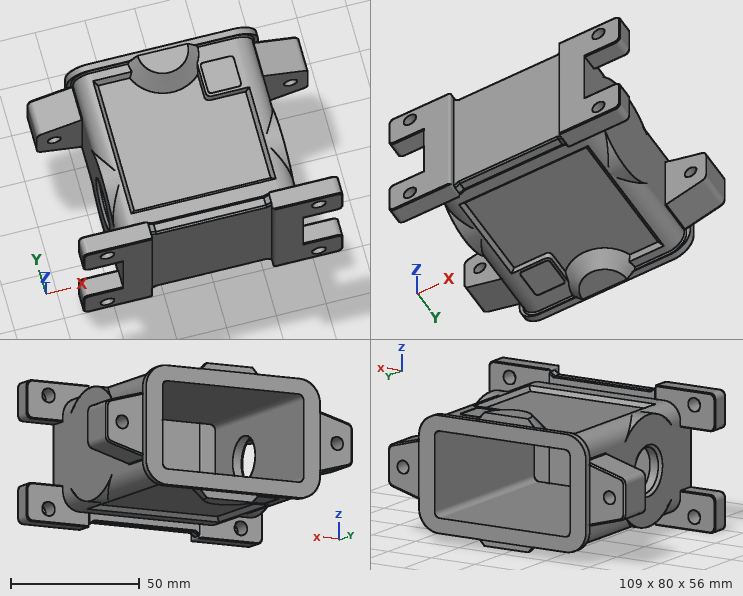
import cadquery as cq
import math


total_width = 109.0
total_depth = 80.0
total_height = 56.0

body_width = 72.4
body_height = 44.9
body_corner = 7.4
foot_depth = 7.8
flange_thickness = 2.8
flange_width = 77.0
flange_height = 47.2
flange_corner = 9.2
flange_y = total_depth - flange_thickness
flare = 0.7

feet_width = 104.2
feet_inner_x = 24.3
foot_corner = 2.4
foot_bevel = 0.4
foot_inner_round = 1.1
foot_end_round = 0.7
notch_x = body_width / 2
notch_height = 25.3
foot_hole_x = 42.5
foot_hole_z = 22.5
foot_hole_diameter = 5.6
slab_face_y = 2.8
slab_height = 51.0
slab_ramp = 2.2
slab_ramp_rise = 1.4
slab_bevel_depth = 0.9
slab_bevel_rise = 0.4

lug_depth = 15.0
lug_root_height = 26.2
lug_flare = 0.3
lug_tip_height = 16.0
lug_corner = 2.7
lug_hole_x = 47.5
lug_hole_diameter = 5.2

entry_y = 31.2
entry_boss_radius = body_height / 2
entry_diameter = 18.3
entry_bevel = 1.2

side_wall = 5.0
cavity_corner = body_corner - side_wall
cavity_width = body_width - 2 * side_wall
cavity_height = body_height - 2 * side_wall

panel_depth = 1.9
panel_slope = 1.6
panel_floor_width = 54.8
panel_floor_start_y = 16.5
panel_floor_end_y = 71.4
pad_x = 12.0
pad_y = 55.0
pad_slope = 0.8
pad_corner = 2.2
frame_size = 13.3
frame_center_x = 19.7
frame_center_y = 63.0
frame_corner = 1.3
frame_depth = 0.2

bump_top_radius = 10.0
bump_base_radius = 15.8
bump_top_z = 26.7

panel_floor_z = body_height / 2 - panel_depth


def along_y(start_y):
    """Workplane at start_y whose extrusions run toward +Y; local x is +X and local y is -Z."""
    return cq.Workplane("XZ", origin=(0, start_y, 0)).transformed(rotate=(180, 0, 0))


def rounded_block(width, height, corner, start_y, end_y):
    block = along_y(start_y).rect(width, height).extrude(end_y - start_y)
    return block.edges("|Y").fillet(corner)


def both_sides(shape):
    """The shape joined with its mirror image across the YZ plane."""
    return shape.union(shape.mirror("YZ"))


def make_body():
    body = rounded_block(body_width, body_height, body_corner, foot_depth, flange_y)
    flared_band = rounded_block(
        body_width + 2 * flare, body_height + 2 * flare, body_corner + flare, flange_y - flare, total_depth
    )
    flared_band = flared_band.faces("<Y").chamfer(flare)
    flange = rounded_block(flange_width, flange_height, flange_corner, flange_y, total_depth)
    entry_boss = (
        cq.Workplane("YZ", origin=(-body_width / 2, entry_y, 0)).circle(entry_boss_radius).extrude(body_width)
    )
    return body.union(entry_boss).union(flared_band).union(flange)


def make_foot_arm():
    """Upper half of the +X foot, with its mounting hole."""
    arm_width = feet_width / 2 - feet_inner_x
    arm_height = (total_height - notch_height) / 2
    arm_x = feet_inner_x + arm_width / 2
    arm_z = (total_height - arm_height) / 2
    arm = cq.Workplane("XY").box(arm_width, foot_depth, arm_height).translate((arm_x, foot_depth / 2, arm_z))
    arm = arm.edges("|Y and >X").fillet(foot_corner)
    arm = arm.edges("|Y and <X and >Z").fillet(foot_end_round)
    arm = arm.faces("<Y or >Y").edges("not <X").chamfer(foot_bevel)
    hole = cq.Workplane("XZ", origin=(foot_hole_x, 0, foot_hole_z)).circle(foot_hole_diameter / 2)
    return arm.cut(hole.extrude(-foot_depth))


def make_foot():
    """Foot on the +X side: two arms joined by a plain web, rounded along the inner edges."""
    web_width = notch_x - feet_inner_x
    web = (
        cq.Workplane("XY")
        .box(web_width, foot_depth, notch_height + 2 * foot_corner)
        .translate((feet_inner_x + web_width / 2, foot_depth / 2, 0))
    )
    arm = make_foot_arm()
    rounding = (
        cq.Workplane("XY", origin=(feet_inner_x, 0, -total_height / 2))
        .rect(feet_width / 2 - feet_inner_x, foot_depth, centered=False)
        .extrude(total_height)
        .edges("|Z and <X")
        .fillet(foot_inner_round)
    )
    return arm.union(arm.mirror("XY")).union(web).intersect(rounding)


def make_slab():
    """Slab between the feet, ramped up to meet them and bevelled front and back."""
    half = slab_height / 2
    ramp_top = half + slab_ramp_rise
    ramp_start_x = feet_inner_x - slab_ramp
    upper_ramp = [(ramp_start_x, half), (feet_inner_x, ramp_top)]
    right_side = upper_ramp + [(x, -z) for x, z in reversed(upper_ramp)]
    left_side = [(-x, -z) for x, z in right_side]
    slab = along_y(slab_face_y).polyline(right_side + left_side).close().extrude(foot_depth - slab_face_y)
    return slab.faces("<Y or >Y").edges("not |Z").chamfer(slab_bevel_depth, slab_bevel_rise)


def make_lug():
    root = lug_root_height / 2
    tip = lug_tip_height / 2
    root_x = body_width / 2
    flare_x = root_x + lug_flare
    flared_root = root + lug_flare
    tip_x = total_width / 2
    inside_x = root_x - side_wall / 2
    upper = [(inside_x, flared_root), (root_x, flared_root), (flare_x, root), (tip_x, tip)]
    lower = [(x, -z) for x, z in reversed(upper)]
    lug = along_y(flange_y - lug_depth).polyline(upper + lower).close().extrude(lug_depth)
    lug = lug.edges("|Y and >X").fillet(lug_corner)
    lug = lug.faces(">Y").edges().chamfer(flare)
    hole = (
        along_y(flange_y - lug_depth).center(lug_hole_x, 0).circle(lug_hole_diameter / 2).extrude(lug_depth)
    )
    return lug.cut(hole)


def make_panel_cut():
    """Recess of the +Z face, leaving the corner pad standing."""
    floor_depth = panel_floor_end_y - panel_floor_start_y
    center_y = (panel_floor_start_y + panel_floor_end_y) / 2
    recess = (
        cq.Workplane("XY", origin=(0, center_y, panel_floor_z))
        .rect(panel_floor_width, floor_depth)
        .workplane(offset=panel_depth)
        .rect(panel_floor_width + 2 * panel_slope, floor_depth + 2 * panel_slope)
        .loft()
    )
    overlap = panel_slope + 2 * pad_corner
    pad_end_x = panel_floor_width / 2 + overlap
    pad_end_y = panel_floor_end_y + overlap
    pad_base_x = pad_x - pad_slope
    pad_base_y = pad_y - pad_slope
    pad = (
        cq.Workplane("XY", origin=(0, 0, panel_floor_z))
        .moveTo(pad_base_x, pad_base_y)
        .rect(pad_end_x - pad_base_x, pad_end_y - pad_base_y, centered=False)
        .extrude(panel_depth, taper=math.degrees(math.atan2(pad_slope, panel_depth)))
        .edges("not #Z")
        .fillet(pad_corner)
    )
    frame = (
        cq.Workplane("XY", origin=(frame_center_x, frame_center_y, body_height / 2 - frame_depth))
        .rect(frame_size, frame_size)
        .extrude(frame_depth)
        .edges("|Z")
        .fillet(frame_corner)
    )
    return recess.cut(pad).union(frame)


def make_bump():
    """Half cone standing on the panel floor, its flat side against the flange."""
    height = bump_top_z - panel_floor_z
    profile = [(0, 0), (bump_base_radius, 0), (bump_top_radius, height), (0, height)]
    cone = cq.Workplane("XZ").polyline(profile).close().revolve(180, (0, 0, 0), (0, -1, 0))
    return cone.translate((0, flange_y, panel_floor_z))


def make_cable_entry():
    outer_x = -body_width / 2
    bore = cq.Workplane("YZ", origin=(outer_x, entry_y, 0)).circle(entry_diameter / 2).extrude(2 * side_wall)
    bevel = (
        cq.Workplane("YZ", origin=(outer_x, entry_y, 0))
        .circle(entry_diameter / 2 + entry_bevel)
        .workplane(offset=entry_bevel)
        .circle(entry_diameter / 2)
        .loft()
    )
    return bore.union(bevel)


def turned_over(shape):
    """The shape turned half a turn about the Y axis, from the +Z face to the -Z face."""
    return shape.rotate((0, 0, 0), (0, 1, 0), 180)


housing = make_body()
panel_cut = make_panel_cut()
bump = make_bump()
housing = housing.cut(panel_cut).cut(turned_over(panel_cut))
housing = housing.union(bump).union(turned_over(bump))
housing = housing.union(make_slab()).union(both_sides(make_foot())).union(both_sides(make_lug()))
cavity = rounded_block(cavity_width, cavity_height, cavity_corner, foot_depth, total_depth)
result = housing.cut(cavity).cut(make_cable_entry())